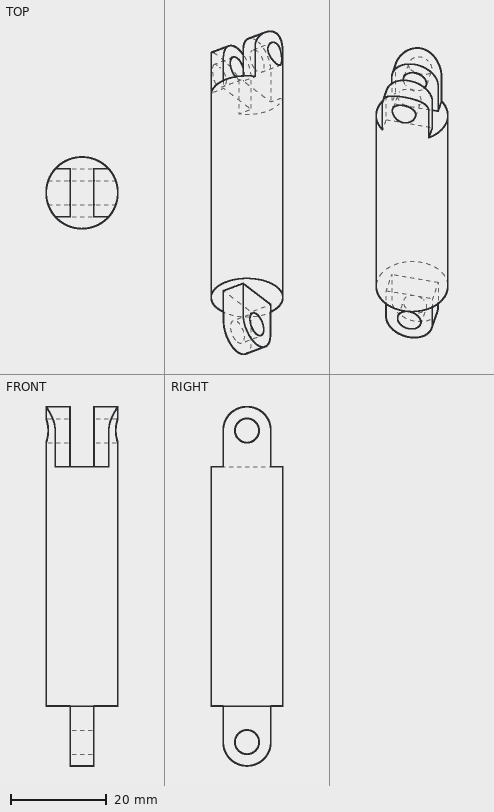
import cadquery as cq

body_diameter = 15.0
body_length = 50.0
lug_width = 10.0
pin_hole_diameter = 5.0
pin_offset = 7.5
tongue_thickness = 5.0
fork_gap = 5.0

lug_radius = lug_width / 2
lug_length = pin_offset + lug_radius


def lug_plate(thickness, base_z, direction):
    """Round-ended plate with a pin hole, centred on X = 0.

    It grows from base_z towards +Z (direction 1) or -Z (direction -1).
    """
    pin_z = base_z + direction * pin_offset
    tip_z = base_z + direction * lug_length
    pin_hole = (
        cq.Workplane("YZ")
        .center(0, pin_z)
        .circle(pin_hole_diameter / 2)
        .extrude(thickness / 2, both=True)
    )
    plate = (
        cq.Workplane("YZ")
        .moveTo(-lug_radius, base_z)
        .lineTo(-lug_radius, pin_z)
        .threePointArc((0, tip_z), (lug_radius, pin_z))
        .lineTo(lug_radius, base_z)
        .close()
        .extrude(thickness / 2, both=True)
    )
    return plate.cut(pin_hole)


def fork():
    """Two lugs on the upper end, trimmed to the body cylinder and split by the gap."""
    envelope = (
        cq.Workplane("XY")
        .workplane(offset=body_length)
        .circle(body_diameter / 2)
        .extrude(lug_length)
    )
    gap = (
        cq.Workplane("XY")
        .workplane(offset=body_length)
        .rect(fork_gap, body_diameter)
        .extrude(lug_length)
    )
    return lug_plate(body_diameter, body_length, 1).intersect(envelope).cut(gap)


def tongue():
    """Single central lug on the lower end."""
    return lug_plate(tongue_thickness, 0, -1)


body = cq.Workplane("XY").circle(body_diameter / 2).extrude(body_length)
result = body.union(fork()).union(tongue())